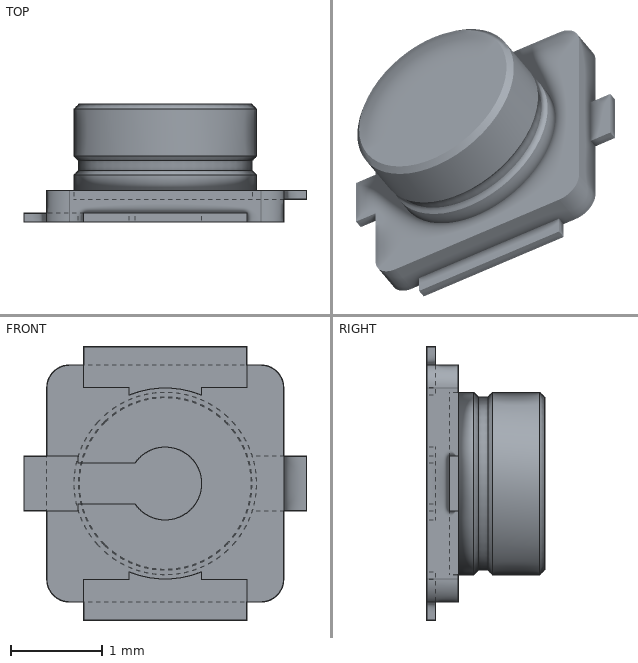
import cadquery as cq
import math


TOTAL_LENGTH = 3.1
TOTAL_WIDTH = 3.0
TOTAL_HEIGHT = 1.3

HOUSING_SIDE = 2.6
HOUSING_THICKNESS = 0.35
HOUSING_CORNER_RADIUS = 0.25

SHEET_THICKNESS = 0.1
TAIL_WIDTH = 0.6

BARREL_RADIUS = 1.0
RIM_CHAMFER = 0.06
GROOVE_DEPTH = 0.05
GROOVE_WIDTH = 0.208
GROOVE_BELOW_RIM = 0.575

TAIL_LENGTH = 0.595
NECK_WIDTH = 0.45
DISC_RADIUS = 0.4

PAD_LENGTH = 1.79
PAD_DEPTH = 0.45
LUG_LENGTH = 0.8
LUG_ARC_RADIUS = 1.048

SHELL_BASE = HOUSING_THICKNESS - SHEET_THICKNESS


def on_plane(y):
    """Workplane at height y whose local axes are X and Z; positive extrusion goes toward -Y."""
    return cq.Workplane("XZ", origin=(0, y, 0))


def make_ground_pad(side):
    """Flat pad on the +Z (side = 1) or -Z (side = -1) edge, with an arc-ended lug facing the axis."""
    half_pad = PAD_LENGTH / 2
    half_lug = LUG_LENGTH / 2
    outer_z = side * TOTAL_WIDTH / 2
    inner_z = outer_z - side * PAD_DEPTH
    lug_z = side * math.sqrt(LUG_ARC_RADIUS**2 - half_lug**2)
    return (
        on_plane(0)
        .moveTo(-half_pad, outer_z)
        .lineTo(half_pad, outer_z)
        .lineTo(half_pad, inner_z)
        .lineTo(half_lug, inner_z)
        .lineTo(half_lug, lug_z)
        .threePointArc((0, side * LUG_ARC_RADIUS), (-half_lug, lug_z))
        .lineTo(-half_lug, inner_z)
        .lineTo(-half_pad, inner_z)
        .close()
        .extrude(-SHEET_THICKNESS)
    )


def make_signal_contact():
    """Wide solder tail, narrower neck and a disc centred on the barrel axis."""
    tail_start = -TOTAL_LENGTH / 2
    tail_end = tail_start + TAIL_LENGTH
    half_tail = TAIL_WIDTH / 2
    half_neck = NECK_WIDTH / 2
    disc_x = -math.sqrt(DISC_RADIUS**2 - half_neck**2)
    return (
        on_plane(0)
        .moveTo(tail_start, half_tail)
        .lineTo(tail_end, half_tail)
        .lineTo(tail_end, half_neck)
        .lineTo(disc_x, half_neck)
        .threePointArc((DISC_RADIUS, 0), (disc_x, -half_neck))
        .lineTo(tail_end, -half_neck)
        .lineTo(tail_end, -half_tail)
        .lineTo(tail_start, -half_tail)
        .close()
        .extrude(-SHEET_THICKNESS)
    )


def make_shell():
    """Grooved barrel set into the housing by one sheet thickness, with a tab toward +X."""
    groove_top = TOTAL_HEIGHT - GROOVE_BELOW_RIM
    groove_bottom = groove_top - GROOVE_WIDTH
    groove_radius = BARREL_RADIUS - GROOVE_DEPTH
    barrel = (
        cq.Workplane("XY")
        .moveTo(0, SHELL_BASE)
        .lineTo(BARREL_RADIUS, SHELL_BASE)
        .lineTo(BARREL_RADIUS, groove_bottom)
        .lineTo(groove_radius, groove_bottom + GROOVE_DEPTH)
        .lineTo(groove_radius, groove_top - GROOVE_DEPTH)
        .lineTo(BARREL_RADIUS, groove_top)
        .lineTo(BARREL_RADIUS, TOTAL_HEIGHT - RIM_CHAMFER)
        .lineTo(BARREL_RADIUS - RIM_CHAMFER, TOTAL_HEIGHT)
        .lineTo(0, TOTAL_HEIGHT)
        .close()
        .revolve(360, (0, 0, 0), (0, 1, 0))
    )
    tab_length = TOTAL_LENGTH / 2
    tab = (
        on_plane(SHELL_BASE)
        .center(tab_length / 2, 0)
        .rect(tab_length, TAIL_WIDTH)
        .extrude(-SHEET_THICKNESS)
    )
    return barrel.union(tab)


def make_housing(metal_bodies):
    """Rounded square plate with a matching recess for every metal body."""
    housing = (
        on_plane(0)
        .rect(HOUSING_SIDE, HOUSING_SIDE)
        .extrude(-HOUSING_THICKNESS)
        .edges("|Y")
        .fillet(HOUSING_CORNER_RADIUS)
    )
    for body in metal_bodies:
        housing = housing.cut(body)
    return housing


ground_pads = [make_ground_pad(side) for side in (1, -1)]
signal_contact = make_signal_contact()
shell = make_shell()
housing = make_housing([*ground_pads, signal_contact, shell])

result = cq.Compound.makeCompound([
    housing.solids().val(),
    shell.solids().val(),
    signal_contact.val(),
    *[pad.val() for pad in ground_pads],
])